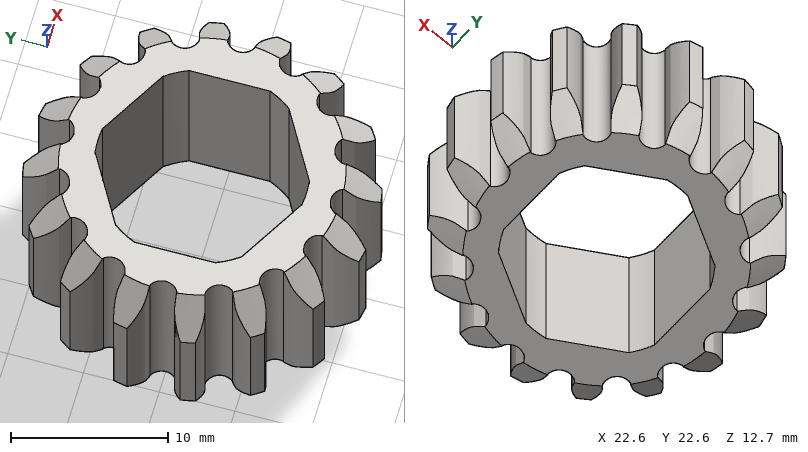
import cadquery as cq
import math

tooth_count = 16
tip_radius = 11.43
pitch_radius = 10.17
root_radius = 8.5
pressure_angle = math.radians(14.5)
backlash = 0.1
involute_start_radius = 9.92
lower_flank_end_radius = 9.28
floor_start_distance = 9.01
floor_half_width = 0.88
face_width = 12.7
tip_chamfer = 2.28
hex_across_flats = 12.7
hex_corner_radius = 6.9
hex_turn = 30

cutter_overshoot = 0.45
flank_samples = 5

base_radius = pitch_radius * math.cos(pressure_angle)
gap_half_angle = math.pi / (2 * tooth_count) + backlash / (2 * pitch_radius)
cutter_radius = tip_radius + cutter_overshoot


def involute(angle):
    """Angle swept by an involute at the given local pressure angle."""
    return math.tan(angle) - angle


def flank_angle(radius):
    """Angle from the gap centre line to the tooth flank, constant below the base circle."""
    local_pressure_angle = math.acos(min(1.0, base_radius / radius))
    return gap_half_angle + involute(local_pressure_angle) - involute(pressure_angle)


def flank_point(radius, side):
    """Point on a flank of the gap centred on +X; side is +1 or -1."""
    angle = side * flank_angle(radius)
    return (radius * math.cos(angle), radius * math.sin(angle))


def make_blank():
    """Round blank with both rims chamfered, centred on the origin."""
    blank = cq.Workplane("XY").circle(tip_radius).extrude(face_width / 2, both=True)
    return blank.faces("|Z").edges().chamfer(tip_chamfer)


def make_gap_cutter():
    """Prism filling one tooth gap: involute flanks, straight lower flanks and a round floor."""
    step = (cutter_radius - involute_start_radius) / flank_samples
    radii = [involute_start_radius + i * step for i in range(flank_samples + 1)]
    left_involute = [flank_point(radius, 1) for radius in radii]
    right_involute = [flank_point(radius, -1) for radius in reversed(radii)]
    return (
        cq.Workplane("XY")
        .workplane(offset=-face_width / 2)
        .moveTo(floor_start_distance, floor_half_width)
        .lineTo(*flank_point(lower_flank_end_radius, 1))
        .lineTo(*left_involute[0])
        .spline(left_involute[1:], includeCurrent=True)
        .lineTo(*right_involute[0])
        .spline(right_involute[1:], includeCurrent=True)
        .lineTo(*flank_point(lower_flank_end_radius, -1))
        .lineTo(floor_start_distance, -floor_half_width)
        .threePointArc((root_radius, 0), (floor_start_distance, floor_half_width))
        .close()
        .extrude(face_width)
    )


def make_hex_bore():
    """Hexagonal bore with flats on +X and -X and its corners rounded by a circle."""
    corner_diameter = hex_across_flats / math.cos(math.pi / 6)
    hexagon = (
        cq.Workplane("XY")
        .transformed(rotate=(0, 0, hex_turn))
        .polygon(6, corner_diameter)
        .extrude(face_width / 2, both=True)
    )
    relief = cq.Workplane("XY").circle(hex_corner_radius).extrude(face_width / 2, both=True)
    return hexagon.intersect(relief)


result = make_blank().cut(make_hex_bore())
gap_cutter = make_gap_cutter()
tooth_pitch_angle = 360 / tooth_count
for i in range(tooth_count):
    result = result.cut(gap_cutter.rotate((0, 0, 0), (0, 0, 1), i * tooth_pitch_angle))